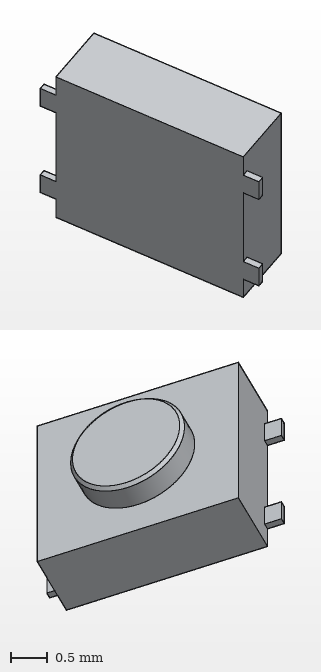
import cadquery as cq

body_width = 3.0
body_depth = 1.0
body_height = 2.7

button_diameter = 1.7
overall_depth = 1.4
button_height = overall_depth - body_depth
button_chamfer = 0.05

overall_width = 3.5
lead_length = (overall_width - body_width) / 2
lead_thickness = 0.1
lead_width = 0.34
lead_outer_span = 2.0
lead_pitch = lead_outer_span - lead_width


def make_body():
    return cq.Workplane("XY").box(
        body_width, body_depth, body_height, centered=(True, False, True)
    )


def make_button():
    """Cylinder rising along +Y from the housing, with a chamfered rim."""
    return (
        cq.Workplane("XZ", origin=(0, body_depth, 0))
        .circle(button_diameter / 2)
        .extrude(-button_height)
        .faces(">Y")
        .chamfer(button_chamfer)
    )


def make_lead(side_x, side_z):
    """One lead on the side given by the signs of X and Z."""
    center_x = side_x * (body_width + lead_length) / 2
    center_z = side_z * lead_pitch / 2
    return (
        cq.Workplane("XY")
        .box(lead_length, lead_thickness, lead_width, centered=(True, False, True))
        .translate((center_x, 0, center_z))
    )


result = make_body().union(make_button())
for side_x in (-1, 1):
    for side_z in (-1, 1):
        result = result.union(make_lead(side_x, side_z))